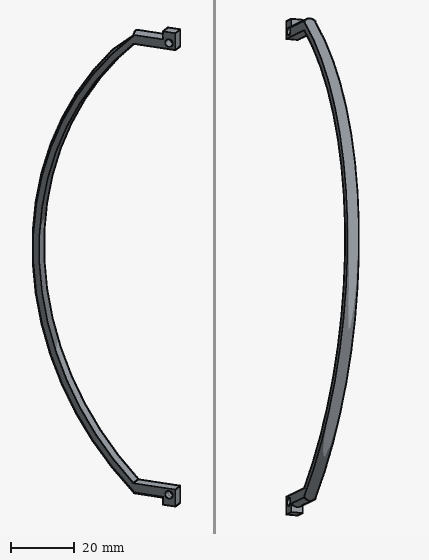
import cadquery as cq

length_x = 49.8
width = 4.0
height = 158.7

arm_length = 14.5
arm_thickness = 4.0
bow_thickness = 3.0
crown_height = 1.0

block_length = 4.3
block_height = 5.7
hole_diameter = 2.5
hole_from_end = 2.2
hole_from_inner_face = 2.0

knee_x = length_x - arm_length
block_bottom = height / 2 - block_height
arm_top = block_bottom + arm_thickness

outer_radius = (knee_x**2 + arm_top**2) / (2 * knee_x)
clearance = 1.6


def crowned_section(plane, thickness):
    """Flat-backed section whose arched top peaks at the plane origin."""
    half = width / 2
    return (
        cq.Workplane(plane)
        .moveTo(-half, -thickness)
        .lineTo(half, -thickness)
        .lineTo(half, -crown_height)
        .threePointArc((0, 0), (-half, -crown_height))
        .close()
    )


def make_bow():
    """Crowned band revolved about the arc centre and trimmed at the knees."""
    section_plane = cq.Plane(origin=(0, 0, 0), xDir=(0, 1, 0), normal=(0, 0, 1))
    ring = crowned_section(section_plane, bow_thickness).revolve(
        360, (0, -outer_radius, 0), (1, -outer_radius, 0)
    )
    trim = cq.Workplane("XY").box(
        knee_x + clearance, width + 2 * clearance, height, centered=(False, True, True)
    )
    return ring.intersect(trim.translate((-clearance, 0, 0)))


def make_upper_end():
    """Straight crowned arm with a drilled square-edged block at its tip."""
    arm_plane = cq.Plane(origin=(knee_x, 0, arm_top), xDir=(0, 1, 0), normal=(1, 0, 0))
    arm = crowned_section(arm_plane, arm_thickness).extrude(arm_length)
    block = cq.Workplane("XY").box(
        block_length, width, block_height, centered=(False, True, False)
    )
    block = block.translate((length_x - block_length, 0, block_bottom))
    hole = (
        cq.Workplane("XZ")
        .center(length_x - hole_from_end, block_bottom + hole_from_inner_face)
        .circle(hole_diameter / 2)
        .extrude(width, both=True)
    )
    return arm.union(block).cut(hole)


upper_end = make_upper_end()
lower_end = upper_end.mirror("XY")
result = make_bow().union(upper_end).union(lower_end)